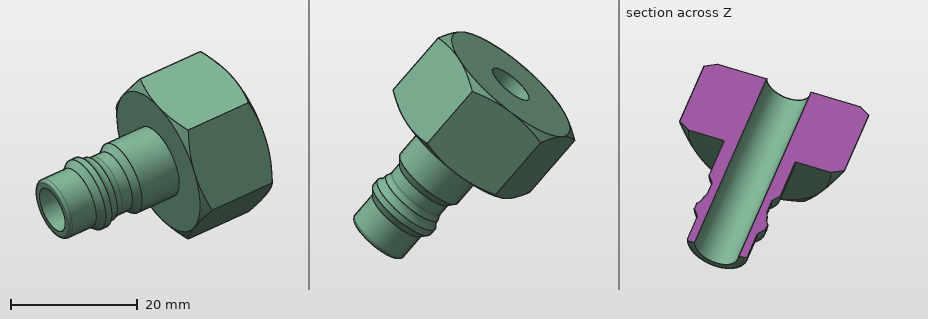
import cadquery as cq
import math

total_length = 33.5
hex_across_flats = 24.0
hex_length = 13.5
hex_chamfer_angle = 30.0
bore_diameter = 7.4

collar_radius = 6.0
neck_radius = 5.05
tip_length = 5.0
tip_fillet = 0.5
cone_length = 1.2
collar_length = 1.1
flare_radius = 2.0
first_flare_length = 1.1
neck_length = 1.95
shank_length = 7.0

hex_across_corners = hex_across_flats / math.cos(math.radians(30))
corner_overhang = (hex_across_corners - hex_across_flats) / 2
hex_chamfer_length = corner_overhang * math.tan(math.radians(hex_chamfer_angle))
hex_front = total_length - hex_length


def flare_rise(length):
    """Radial rise of a flare arc that leaves parallel to the axis."""
    return flare_radius - math.sqrt(flare_radius**2 - length**2)


def flare_run(rise):
    """Axial length of a flare arc that leaves parallel to the axis."""
    return math.sqrt(flare_radius**2 - (flare_radius - rise) ** 2)


def make_hex():
    """Hexagonal head with both ends turned to a conical chamfer."""
    prism = (
        cq.Workplane("XZ", origin=(0, total_length, 0))
        .polygon(6, hex_across_corners)
        .extrude(hex_length)
    )
    face_radius = hex_across_flats / 2
    corner_radius = hex_across_corners / 2
    turned_envelope = (
        cq.Workplane("XY")
        .moveTo(0, hex_front)
        .lineTo(face_radius, hex_front)
        .lineTo(corner_radius, hex_front + hex_chamfer_length)
        .lineTo(corner_radius, total_length - hex_chamfer_length)
        .lineTo(face_radius, total_length)
        .lineTo(0, total_length)
        .close()
        .revolve(360, (0, 0, 0), (0, 1, 0))
    )
    return prism.intersect(turned_envelope)


def make_plug():
    """Turned plug: tip, locking collar, two concave flares, neck and shank."""
    flare_step_radius = neck_radius + flare_rise(first_flare_length)
    second_flare_length = flare_run(collar_radius - flare_step_radius)

    collar_front = tip_length + cone_length
    collar_back = collar_front + collar_length
    flare_step = collar_back + second_flare_length
    neck_front = flare_step + first_flare_length
    shank_front = hex_front - shank_length
    neck_back = neck_front + neck_length

    plug = (
        cq.Workplane("XY")
        .lineTo(neck_radius, 0)
        .lineTo(neck_radius, tip_length)
        .lineTo(collar_radius, collar_front)
        .lineTo(collar_radius, collar_back)
        .radiusArc((flare_step_radius, flare_step), flare_radius)
        .radiusArc((neck_radius, neck_front), flare_radius)
        .lineTo(neck_radius, neck_back)
        .lineTo(collar_radius, shank_front)
        .lineTo(collar_radius, hex_front)
        .lineTo(0, hex_front)
        .close()
        .revolve(360, (0, 0, 0), (0, 1, 0))
    )
    return plug.faces("<Y").edges().fillet(tip_fillet)


def make_bore():
    """Through bore along the axis."""
    return (
        cq.Workplane("XZ", origin=(0, total_length, 0))
        .circle(bore_diameter / 2)
        .extrude(total_length)
    )


result = make_hex().union(make_plug()).cut(make_bore())